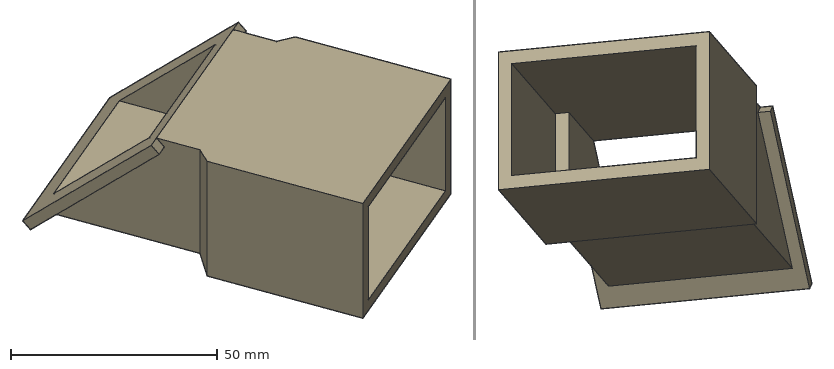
import cadquery as cq
import math

length = 90.3
body_width = 53.25
total_height = 36.2
body_length = 41.25
step = 3.4
body_height = 35.5
wall = 3.3
flange_width = 52.7
flange_thickness = 3.0

flange_shift = flange_thickness / math.sqrt(2)
flange_drop = total_height - flange_shift
body_start = length - body_length
neck_end = body_start - step
neck_width = body_width - 2 * step
neck_height = body_height - step


def outer_block():
    """Solid neck widening at 45 degrees into the body, flat on top."""
    neck_side = neck_width / 2
    body_side = body_width / 2
    plan = (
        cq.Workplane("XY")
        .workplane(offset=-body_height)
        .polyline([
            (0, -neck_side), (neck_end, -neck_side), (body_start, -body_side), (length, -body_side),
            (length, body_side), (body_start, body_side), (neck_end, neck_side), (0, neck_side),
        ])
        .close()
        .extrude(body_height)
    )
    profile = (
        cq.Workplane("XZ")
        .polyline([
            (0, 0), (length, 0), (length, -body_height),
            (body_start, -body_height), (neck_end, -neck_height), (0, -neck_height),
        ])
        .close()
        .extrude(body_width / 2, both=True)
    )
    return plan.intersect(profile)


def cavity_box(start, outer_width, outer_height):
    """Box inset by the wall at the sides, top and bottom, running from start to the rear."""
    return (
        cq.Workplane("XY")
        .box(length - start, outer_width - 2 * wall, outer_height - 2 * wall, centered=(False, True, False))
        .translate((start, 0, wall - outer_height))
    )


def slanted_cut():
    """Space in front of the 45 degree flange face."""
    return (
        cq.Workplane("XZ")
        .polyline([(0, 0), (flange_drop, 0), (0, -flange_drop)])
        .close()
        .extrude(body_width, both=True)
    )


def flange():
    """Flat 45 degree plate around the mouth of the duct."""
    return (
        cq.Workplane("XZ")
        .polyline([
            (0, -flange_drop), (flange_drop, 0),
            (flange_drop + flange_shift, -flange_shift), (flange_shift, -total_height),
        ])
        .close()
        .extrude(flange_width / 2, both=True)
    )


outside = outer_block().cut(slanted_cut()).union(flange())
neck_cavity = cavity_box(0, neck_width, neck_height)
body_cavity = cavity_box(body_start + wall, body_width, body_height)
result = outside.cut(neck_cavity).cut(body_cavity)